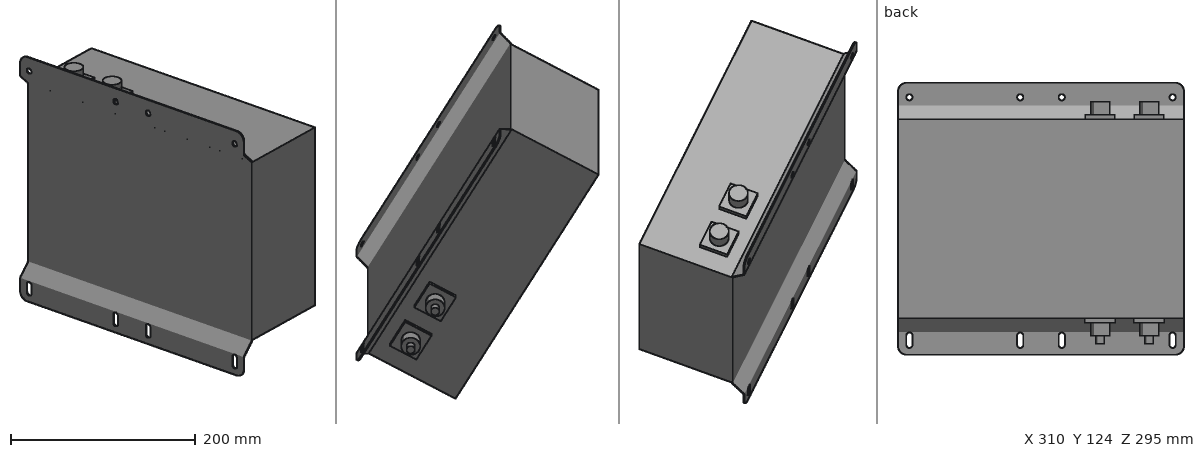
import cadquery as cq
import math

width = 310.0
box_depth = 110.0
box_height = 215.0

overall_height = 295.0
flange_offset = 14.0
sheet = 1.5
inner_bend = 3.0
outer_bend = inner_bend + sheet
bend_angle = math.radians(45)
bend_start = 106.5
corner_radius = 10.0

hole_diameter = 6.5
slot_length = 16.5
hole_z = 131.5
hole_pair_spacing = 120.0
hole_inner_x = 22.5
hole_columns = [
    side * x for side in (-1, 1) for x in (hole_inner_x, hole_inner_x + hole_pair_spacing)
]

connector_columns = (-117.0, -64.0)
connector_y = 32.0
body_diameter = 20.5
body_length = 14.0
base_thickness = 5.0
upper_base_size = 32.0
lower_base_size = 33.0
stem_diameter = 9.0
stem_length = 9.0


def bend_point(center, radius, angle):
    """Point on a bend, with the angle measured from +Y towards +Z."""
    return (center[0] + radius * math.cos(angle), center[1] + radius * math.sin(angle))


def upper_flange_blank():
    """Joggled sheet in the YZ plane, swept across the full width."""
    first_center = (-inner_bend, bend_start)
    second_y = -flange_offset + outer_bend
    bend_sum = inner_bend + outer_bend
    slope_run = flange_offset - bend_sum * (1 - math.cos(bend_angle))
    slope_rise = slope_run / math.tan(bend_angle)
    second_center = (second_y, bend_start + slope_rise + bend_sum * math.sin(bend_angle))
    half_angle = bend_angle / 2
    top = overall_height / 2
    front_y = -flange_offset
    rear_y = front_y + sheet
    profile = (
        cq.Workplane("YZ")
        .moveTo(0, bend_start)
        .threePointArc(
            bend_point(first_center, inner_bend, half_angle),
            bend_point(first_center, inner_bend, bend_angle),
        )
        .lineTo(*bend_point(second_center, outer_bend, math.pi + bend_angle))
        .threePointArc(
            bend_point(second_center, outer_bend, math.pi + half_angle),
            (front_y, second_center[1]),
        )
        .lineTo(front_y, top)
        .lineTo(rear_y, top)
        .lineTo(rear_y, second_center[1])
        .threePointArc(
            bend_point(second_center, inner_bend, math.pi + half_angle),
            bend_point(second_center, inner_bend, math.pi + bend_angle),
        )
        .lineTo(*bend_point(first_center, outer_bend, bend_angle))
        .threePointArc(
            bend_point(first_center, outer_bend, half_angle),
            (sheet, bend_start),
        )
        .close()
    )
    return profile.extrude(width / 2, both=True)


def flange_corner_envelope():
    """Rounded rectangle that trims the outer corners of both flanges."""
    return (
        cq.Workplane("XZ")
        .rect(width, overall_height)
        .extrude(flange_offset, both=True)
        .edges("|Y")
        .fillet(corner_radius)
    )


def make_flanges():
    """Upper flange with round holes, lower flange with upright slots."""
    upper = upper_flange_blank()
    lower = upper.mirror("XY")
    hole_points = [(x, hole_z) for x in hole_columns]
    slot_points = [(x, -hole_z) for x in hole_columns]
    holes = cq.Workplane("XZ").pushPoints(hole_points).circle(hole_diameter / 2)
    slots = cq.Workplane("XZ").pushPoints(slot_points).slot2D(slot_length, hole_diameter, 90)
    envelope = flange_corner_envelope()
    upper = upper.intersect(envelope).cut(holes.extrude(flange_offset))
    lower = lower.intersect(envelope).cut(slots.extrude(flange_offset))
    return upper, lower


def make_connectors(base_size, with_stem):
    """Connectors standing on the top face of the box."""
    points = [(x, connector_y) for x in connector_columns]

    def layer(start):
        """Sketch at the given height with a point at each connector axis."""
        return cq.Workplane("XY").workplane(offset=start).pushPoints(points)

    base_top = box_height / 2 + base_thickness
    body_top = base_top + body_length
    connectors = layer(box_height / 2).rect(base_size, base_size).extrude(base_thickness)
    connectors = connectors.union(layer(base_top).circle(body_diameter / 2).extrude(body_length))
    if with_stem:
        connectors = connectors.union(layer(body_top).circle(stem_diameter / 2).extrude(stem_length))
    return connectors


box = cq.Workplane("XY").box(width, box_depth, box_height).translate((0, box_depth / 2, 0))
upper_flange, lower_flange = make_flanges()
upper_connectors = make_connectors(upper_base_size, with_stem=False)
lower_connectors = make_connectors(lower_base_size, with_stem=True).mirror("XY")

result = (
    box.union(upper_flange)
    .union(lower_flange)
    .union(upper_connectors)
    .union(lower_connectors)
)